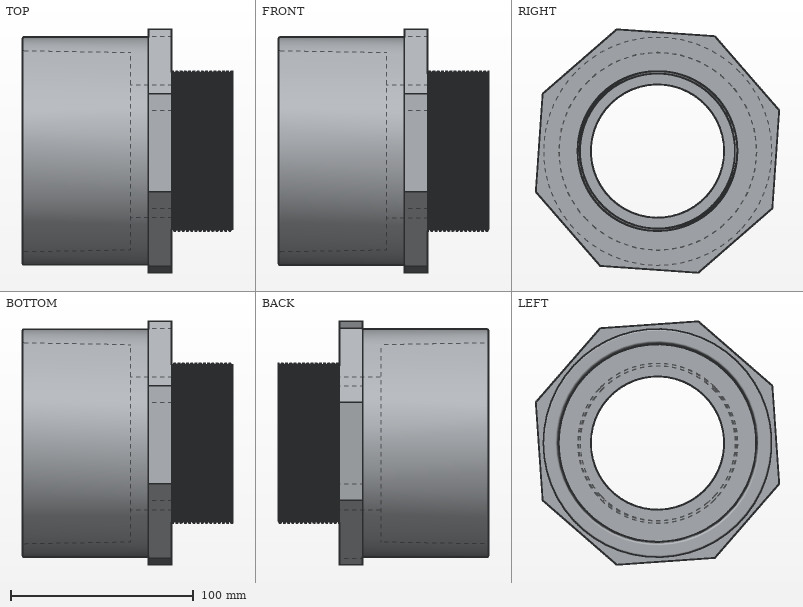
import cadquery as cq
import math

socket_length = 69.0
collar_length = 12.7
spigot_length = 33.3
collar_start = socket_length
spigot_start = collar_start + collar_length
total_length = spigot_start + spigot_length

socket_diameter = 125.0
bore_mouth_diameter = 110.0
bore_floor_diameter = 108.0
bore_depth = 59.0
mouth_fillet = 1.0

collar_sides = 8
collar_height = 133.4
collar_vertex_angle = 18.5
collar_corner_radius = collar_height / 2 / math.cos(math.radians(collar_vertex_angle))

passage_diameter = 72.8
root_diameter = 84.8
crest_diameter = 87.6
thread_turns = 14.4
thread_pitch = spigot_length / thread_turns
ridge_base_width = 2.0
ridge_crest_width = 0.5


def x_cylinder(diameter, start, length):
    """Solid cylinder along X."""
    return cq.Workplane("YZ", origin=(start, 0, 0)).circle(diameter / 2).extrude(length)


def make_collar():
    """Octagonal prism."""
    corners = []
    for side in range(collar_sides):
        angle = math.radians(collar_vertex_angle + side * 360 / collar_sides)
        y = -collar_corner_radius * math.sin(angle)
        z = collar_corner_radius * math.cos(angle)
        corners.append((y, z))
    return cq.Workplane("YZ", origin=(collar_start, 0, 0)).polyline(corners).close().extrude(collar_length)


def make_bore():
    """Tapered socket bore, as a cutting tool."""
    return (
        cq.Workplane("XY")
        .lineTo(0, bore_mouth_diameter / 2)
        .lineTo(bore_depth, bore_floor_diameter / 2)
        .lineTo(bore_depth, 0)
        .close()
        .revolve(360, (0, 0, 0), (1, 0, 0))
    )


def make_adapter():
    """Socket, collar and plain spigot with the stepped passage through them."""
    socket = x_cylinder(socket_diameter, 0, socket_length)
    spigot = x_cylinder(root_diameter, spigot_start, spigot_length)
    passage = x_cylinder(passage_diameter, 0, total_length)
    adapter = socket.union(make_collar()).union(spigot).cut(make_bore()).cut(passage)
    return adapter.faces("<X").edges().fillet(mouth_fillet)


def make_thread():
    """Helical ridge around the spigot, trimmed flush at both ends."""
    root_radius = root_diameter / 2
    crest_radius = crest_diameter / 2
    helix = cq.Wire.makeHelix(thread_pitch, spigot_length + 2 * thread_pitch, root_radius)
    ridge = (
        cq.Workplane("XZ")
        .moveTo(root_radius, -ridge_base_width / 2)
        .lineTo(crest_radius, -ridge_crest_width / 2)
        .lineTo(crest_radius, ridge_crest_width / 2)
        .lineTo(root_radius, ridge_base_width / 2)
        .close()
        .sweep(cq.Workplane(obj=helix), isFrenet=True)
        .rotate((0, 0, 0), (0, 1, 0), 90)
        .translate((spigot_start - thread_pitch, 0, 0))
    )
    end_trim_length = 3 * thread_pitch
    collar_trim = x_cylinder(collar_height, spigot_start - end_trim_length, end_trim_length)
    tip_trim = x_cylinder(collar_height, total_length, end_trim_length)
    return ridge.cut(collar_trim).cut(tip_trim)


adapter = make_adapter()
thread = make_thread()
result = cq.Compound.makeCompound([adapter.solids().val(), thread.solids().val()])